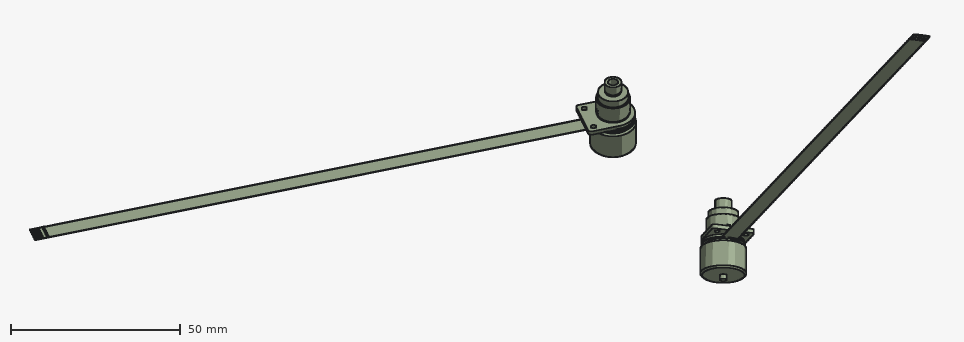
import cadquery as cq

PIN_DIAMETER = 2.0
BODY_BOTTOM = 1.5
BODY_TOP = 9.9
BODY_DIAMETER = 13.6
BODY_CHAMFER = 0.5
NECK_DIAMETER = 11.0
RIBBON_BOTTOM = 11.0
RIBBON_THICKNESS = 0.22
SPACER_DIAMETER = 12.5
PLATE_BOTTOM = 12.1
PLATE_TOP = 13.5
RELIEF_DIAMETER = 9.7
RELIEF_TOP = 13.8
BUSHING_DIAMETER = 10.0
BUSHING_TOP = 19.0
CAP_DIAMETER = 9.0
CAP_TOP = 21.2
SHAFT_DIAMETER = 4.5
KNOB_DIAMETER = 5.0
KNOB_BOTTOM = 21.8
KNOB_TOP = 25.0

BORE_DIAMETER = 3.0
BORE_DEPTH = 3.0

PLATE_WIDTH = 13.0
PLATE_FRONT = 9.5
PLATE_CORNER_RADIUS = 1.0
MOUNT_HOLE_DIAMETER = 1.56
MOUNT_HOLE_SPACING = 9.0
MOUNT_HOLE_FORWARD = 7.5

NOTCH_WIDTH = 1.0
NOTCH_DEPTH = 0.5
NOTCH_BOTTOM = 14.5
NOTCH_TOP = 15.6

OVERALL_LENGTH = 186.3
RIBBON_REACH = OVERALL_LENGTH - BODY_DIAMETER / 2
RIBBON_WIDTH = 5.0
RIBBON_DISC_DIAMETER = 13.0

RIDGE_LENGTH = 0.5
RIDGE_TO_END = 4.3
CONTACT_COUNT = 5
CONTACT_WIDTH = 0.5
CONTACT_PITCH = 1.0
CONTACT_LENGTH = 2.6
RAISED_HEIGHT = 0.1


def disc(diameter, bottom, top):
    """Cylinder on the Z axis between two levels."""
    return cq.Workplane("XY").workplane(offset=bottom).circle(diameter / 2).extrude(top - bottom)


def forward_bar(width, start, end, bottom, height):
    """Bar centred on X = 0, lying between two distances forward (-Y) of the axis."""
    return cq.Workplane("XY").box(width, end - start, height, centered=(True, True, False)).translate(
        (0, -(start + end) / 2, bottom)
    )


def turned_stack():
    stack = disc(BODY_DIAMETER, BODY_BOTTOM, BODY_TOP).faces("<Z").edges().chamfer(BODY_CHAMFER)
    upper_sections = [
        (PIN_DIAMETER, 0, BODY_BOTTOM),
        (NECK_DIAMETER, BODY_TOP, RIBBON_BOTTOM),
        (SPACER_DIAMETER, RIBBON_BOTTOM, PLATE_BOTTOM),
        (RELIEF_DIAMETER, PLATE_BOTTOM, RELIEF_TOP),
        (BUSHING_DIAMETER, RELIEF_TOP, BUSHING_TOP),
        (CAP_DIAMETER, BUSHING_TOP, CAP_TOP),
        (SHAFT_DIAMETER, CAP_TOP, KNOB_BOTTOM),
        (KNOB_DIAMETER, KNOB_BOTTOM, KNOB_TOP),
    ]
    for diameter, bottom, top in upper_sections:
        stack = stack.union(disc(diameter, bottom, top))
    return stack.cut(disc(BORE_DIAMETER, KNOB_TOP - BORE_DEPTH, KNOB_TOP))


def mounting_plate():
    thickness = PLATE_TOP - PLATE_BOTTOM
    front = forward_bar(PLATE_WIDTH, 0, PLATE_FRONT, PLATE_BOTTOM, thickness)
    front = front.edges("|Z and <Y").fillet(PLATE_CORNER_RADIUS)
    plate = front.union(disc(PLATE_WIDTH, PLATE_BOTTOM, PLATE_TOP))
    for side in (-1, 1):
        hole = disc(MOUNT_HOLE_DIAMETER, PLATE_BOTTOM, PLATE_TOP)
        plate = plate.cut(hole.translate((side * MOUNT_HOLE_SPACING / 2, -MOUNT_HOLE_FORWARD, 0)))
    return plate


def bushing_notch():
    surface = BUSHING_DIAMETER / 2
    return forward_bar(NOTCH_WIDTH, surface - NOTCH_DEPTH, surface, NOTCH_BOTTOM, NOTCH_TOP - NOTCH_BOTTOM)


def ribbon_cable():
    ribbon_top = RIBBON_BOTTOM + RIBBON_THICKNESS
    cable = disc(RIBBON_DISC_DIAMETER, RIBBON_BOTTOM, ribbon_top)
    cable = cable.union(forward_bar(RIBBON_WIDTH, 0, RIBBON_REACH, RIBBON_BOTTOM, RIBBON_THICKNESS))
    ridge_start = RIBBON_REACH - RIDGE_TO_END
    ridge_end = ridge_start + RIDGE_LENGTH
    cable = cable.union(forward_bar(RIBBON_WIDTH, ridge_start, ridge_end, ribbon_top, RAISED_HEIGHT))
    contact = forward_bar(CONTACT_WIDTH, RIBBON_REACH - CONTACT_LENGTH, RIBBON_REACH, ribbon_top, RAISED_HEIGHT)
    for index in range(CONTACT_COUNT):
        offset = (index - (CONTACT_COUNT - 1) / 2) * CONTACT_PITCH
        cable = cable.union(contact.translate((offset, 0, 0)))
    return cable


result = turned_stack().cut(bushing_notch()).union(mounting_plate()).union(ribbon_cable())